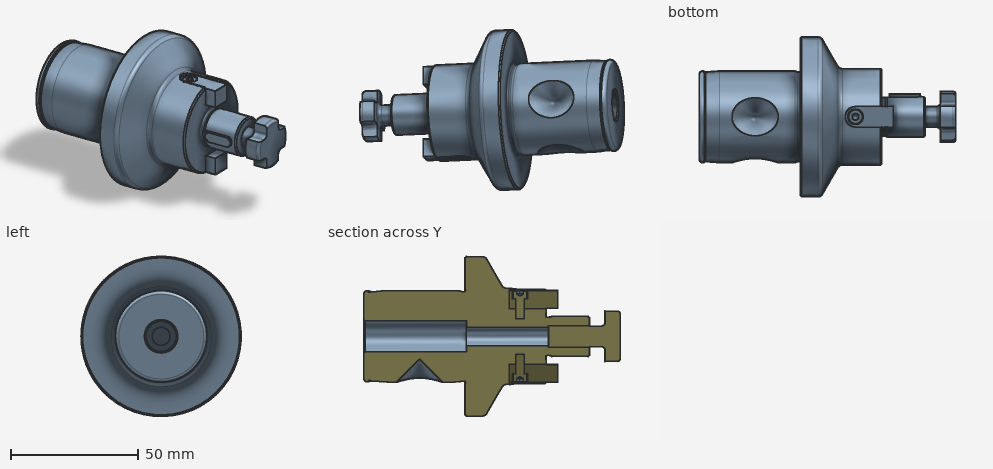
import cadquery as cq
import math


total_length = 101.0

shank_radius = 18.1
shank_face_radius = 16.7
shank_end_round = shank_radius - shank_face_radius
lead_groove_radius = 17.5
lead_groove_start_x = 1.9
lead_in_radius = 17.7
lead_in_start_x = 2.6
lead_in_end_x = 8.0

flange_radius = 31.5
flange_x = 39.8
flange_chamfer = 0.6
cone_start_x = 47.9
cone_angle = math.radians(60)
cone_fillet = 2.1

nose_radius = 19.0
nose_x = 71.9
nose_chamfer = 0.6

spindle_radius = 8.0
spindle_end_x = 88.9
spindle_chamfer = 0.6

undercut_depth = 0.35
undercut_round = 0.6
face_relief_depth = 0.2
face_relief_width = 1.6
shank_undercut_length = 2.2
shank_undercut_ramp = 1.1
spindle_undercut_length = 2.1
spindle_undercut_ramp = 0.8

bore_radius = 6.0
bore_chamfer = 0.6
bore_depth = 40.4
core_hole_radius = 3.5

seat_x = 22.0
seat_angles = (-90, 180)
seat_radius = 9.1

dog_angles = (0, 180)
dog_half_width = 4.0
dog_screw_x = 61.5
dog_end_x = 76.5
dog_top_z = 18.1
dog_bottom_z = 11.0

counterbore_radius = 3.0
counterbore_depth = 3.2
screw_head_radius = 2.7
screw_head_height = 3.0
screw_shank_radius = 1.5
screw_tip_z = 7.1
socket_across_flats = 2.5
socket_depth = 1.2
socket_cone_depth = 0.7

key_half_width = 2.0
keyway_start_x = 72.8
key_start_x = 74.8
key_end_x = 87.0
key_outer_y = 9.0
key_height = 4.0

clamp_shank_radius = 4.1
clamp_tip_x = 72.7
clamp_head_radius = 10.0
clamp_head_x = 94.9
clamp_root_fillet = 1.5
clamp_head_round = 1.2
lobe_half_width = 4.0
notch_fillet = 1.9

DIAGONAL = math.sqrt(0.5)


def revolve_about_x(profile):
    """Spin a closed profile drawn as (x, radius) about the X axis."""
    return profile.close().revolve(360, (0, 0, 0), (1, 0, 0))


def rod_z(radius, x, bottom_z, top_z):
    """Round rod parallel to Z above the point x on the axis."""
    return cq.Workplane("XY", origin=(x, 0, bottom_z)).circle(radius).extrude(top_z - bottom_z)


def about_axis(body, angle):
    """Turn a body about the X axis."""
    return body.rotate((0, 0, 0), (1, 0, 0), angle)


def arbor_blank():
    shank_root = shank_radius - undercut_depth
    spindle_root = spindle_radius - undercut_depth
    past_crest = lead_groove_start_x - shank_end_round
    round_end_radius = shank_face_radius + math.sqrt(shank_end_round**2 - past_crest**2)

    cone_run = (flange_radius - nose_radius) / math.tan(cone_angle)
    cone_end_x = cone_start_x + cone_run
    tangent_length = cone_fillet * math.tan(cone_angle / 2)
    tangent_x = tangent_length * math.cos(cone_angle)
    tangent_r = tangent_length * math.sin(cone_angle)

    rear_relief_x = flange_x + face_relief_depth
    front_relief_x = nose_x - face_relief_depth

    return revolve_about_x(
        cq.Workplane("XY")
        .moveTo(0, 0)
        .lineTo(0, shank_face_radius)
        .threePointArc((shank_end_round, shank_radius), (lead_groove_start_x, round_end_radius))
        .lineTo(lead_groove_start_x, lead_groove_radius)
        .lineTo(lead_in_start_x, lead_groove_radius)
        .lineTo(lead_in_start_x, lead_in_radius)
        .lineTo(lead_in_end_x, shank_radius)
        .lineTo(flange_x - shank_undercut_length, shank_radius)
        .lineTo(flange_x - shank_undercut_length + shank_undercut_ramp, shank_root)
        .lineTo(rear_relief_x - undercut_round, shank_root)
        .tangentArcPoint((rear_relief_x, shank_root + undercut_round), relative=False)
        .lineTo(flange_x, shank_radius + face_relief_width)
        .lineTo(flange_x, flange_radius - flange_chamfer)
        .lineTo(flange_x + flange_chamfer, flange_radius)
        .lineTo(cone_start_x - tangent_length, flange_radius)
        .tangentArcPoint((cone_start_x + tangent_x, flange_radius - tangent_r), relative=False)
        .lineTo(cone_end_x - tangent_x, nose_radius + tangent_r)
        .tangentArcPoint((cone_end_x + tangent_length, nose_radius), relative=False)
        .lineTo(nose_x - nose_chamfer, nose_radius)
        .lineTo(nose_x, nose_radius - nose_chamfer)
        .lineTo(nose_x, spindle_radius + face_relief_width)
        .lineTo(front_relief_x, spindle_root + undercut_round)
        .tangentArcPoint((front_relief_x + undercut_round, spindle_root), relative=False)
        .lineTo(nose_x + spindle_undercut_length - spindle_undercut_ramp, spindle_root)
        .lineTo(nose_x + spindle_undercut_length, spindle_radius)
        .lineTo(spindle_end_x - spindle_chamfer, spindle_radius)
        .lineTo(spindle_end_x, spindle_radius - spindle_chamfer)
        .lineTo(spindle_end_x, 0)
    )


def axial_bore():
    """Chamfered rear bore, core hole and clamp screw hole as one cutter."""
    return revolve_about_x(
        cq.Workplane("XY")
        .moveTo(0, 0)
        .lineTo(0, bore_radius + bore_chamfer)
        .lineTo(bore_chamfer, bore_radius)
        .lineTo(bore_depth, bore_radius)
        .lineTo(bore_depth, core_hole_radius)
        .lineTo(clamp_tip_x, core_hole_radius)
        .lineTo(clamp_tip_x, clamp_shank_radius)
        .lineTo(spindle_end_x, clamp_shank_radius)
        .lineTo(spindle_end_x, 0)
    )


def clamping_seat():
    """90 degree cone pointing from +Z down to the axis."""
    overshoot = 1.0
    apex_z = shank_radius - seat_radius
    base_z = shank_radius + overshoot
    return (
        cq.Workplane("XZ", origin=(seat_x, 0, 0))
        .moveTo(0, apex_z)
        .lineTo(seat_radius + overshoot, base_z)
        .lineTo(0, base_z)
        .close()
        .revolve(360, (0, 0, 0), (0, 1, 0))
    )


def dog_plan(bottom_z, height):
    """Dog outline, round at the rear and square at the front, raised from bottom_z."""
    return (
        cq.Workplane("XY", origin=(0, 0, bottom_z))
        .moveTo(dog_end_x, -dog_half_width)
        .lineTo(dog_end_x, dog_half_width)
        .lineTo(dog_screw_x, dog_half_width)
        .threePointArc((dog_screw_x - dog_half_width, 0), (dog_screw_x, -dog_half_width))
        .close()
        .extrude(height)
    )


def key_block(start_x):
    """Round-ended block on the -Y side, from the keyway floor to the key's outer face."""
    floor_y = key_outer_y - key_height
    length = key_end_x - start_x
    return (
        cq.Workplane("XZ", origin=((start_x + key_end_x) / 2, -floor_y, 0))
        .slot2D(length, 2 * key_half_width)
        .extrude(key_height)
    )


def make_arbor():
    arbor = arbor_blank().cut(axial_bore())
    for angle in seat_angles:
        arbor = arbor.cut(about_axis(clamping_seat(), angle))
    dog_slot = dog_plan(dog_bottom_z, nose_radius - dog_bottom_z)
    thread_hole = rod_z(screw_shank_radius, dog_screw_x, screw_tip_z, dog_bottom_z)
    for angle in dog_angles:
        arbor = arbor.cut(about_axis(dog_slot, angle))
        arbor = arbor.cut(about_axis(thread_hole, angle))
    return arbor.cut(key_block(keyway_start_x))


def make_dog():
    counterbore = rod_z(counterbore_radius, dog_screw_x, dog_top_z - counterbore_depth, dog_top_z)
    clearance = rod_z(screw_shank_radius, dog_screw_x, dog_bottom_z, dog_top_z)
    return dog_plan(dog_bottom_z, dog_top_z - dog_bottom_z).cut(counterbore).cut(clearance)


def make_dog_screw():
    head_bottom_z = dog_top_z - counterbore_depth
    head_top_z = head_bottom_z + screw_head_height
    socket_floor_z = head_top_z - socket_depth
    head = rod_z(screw_head_radius, dog_screw_x, head_bottom_z, head_top_z)
    shank = rod_z(screw_shank_radius, dog_screw_x, screw_tip_z, head_bottom_z)
    socket = (
        cq.Workplane("XY", origin=(dog_screw_x, 0, socket_floor_z))
        .transformed(rotate=(0, 0, 90))
        .polygon(6, socket_across_flats / math.cos(math.pi / 6))
        .extrude(socket_depth)
    )
    drill_tip = cq.Workplane(
        cq.Solid.makeCone(
            socket_across_flats / 2,
            0,
            socket_cone_depth,
            pnt=cq.Vector(dog_screw_x, 0, socket_floor_z),
            dir=cq.Vector(0, 0, -1),
        )
    )
    return head.union(shank).cut(socket).cut(drill_tip)


def make_clamp_screw():
    round_mid = clamp_head_round * (1 - DIAGONAL)
    screw = revolve_about_x(
        cq.Workplane("XY")
        .moveTo(clamp_tip_x, 0)
        .lineTo(clamp_tip_x, clamp_shank_radius)
        .lineTo(clamp_head_x - clamp_root_fillet, clamp_shank_radius)
        .tangentArcPoint((clamp_head_x, clamp_shank_radius + clamp_root_fillet), relative=False)
        .lineTo(clamp_head_x, clamp_head_radius)
        .lineTo(total_length - clamp_head_round, clamp_head_radius)
        .threePointArc(
            (total_length - round_mid, clamp_head_radius - round_mid),
            (total_length, clamp_head_radius - clamp_head_round),
        )
        .lineTo(total_length, 0)
    )
    notch = (
        cq.Workplane("YZ", origin=(clamp_head_x, lobe_half_width, lobe_half_width))
        .rect(clamp_head_radius, clamp_head_radius, centered=False)
        .extrude(total_length - clamp_head_x)
        .edges("|X and <Y and <Z")
        .fillet(notch_fillet)
    )
    for quarter in range(4):
        screw = screw.cut(about_axis(notch, 90 * quarter))
    return screw


arbor = make_arbor()
dogs = [about_axis(make_dog(), angle) for angle in dog_angles]
dog_screws = [about_axis(make_dog_screw(), angle) for angle in dog_angles]
feather_key = key_block(key_start_x)
clamp_screw = make_clamp_screw()

bodies = [arbor, *dogs, *dog_screws, feather_key, clamp_screw]
result = cq.Compound.makeCompound([body.solids().val() for body in bodies])